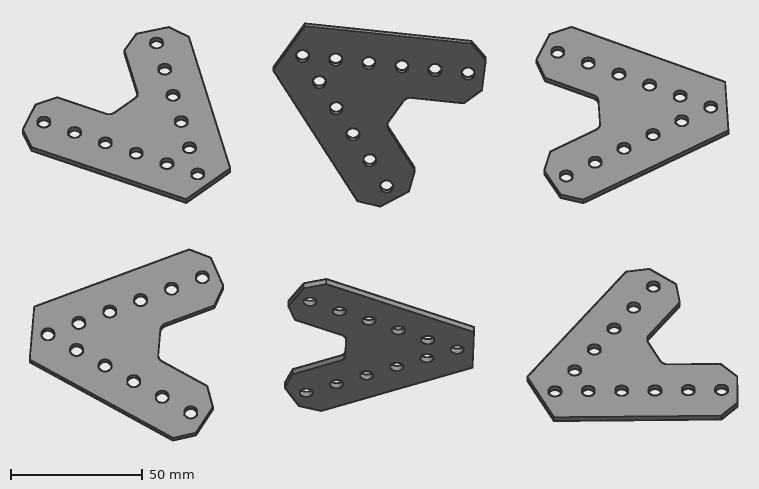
import cadquery as cq
import math

thickness = 2.5
arm_width = 25.4
arm_angle = math.atan2(4, 3)
hole_row_length = 63.5
holes_per_arm = 6
hole_diameter = 5.05
end_margin = 6.1
corner_margin = 6.2
inner_edge_distance = 42.5
inner_fillet = 3.2

half_width = arm_width / 2
end_chamfer = arm_width / 4
hole_pitch = hole_row_length / (holes_per_arm - 1)
half_angle = arm_angle / 2

corner_x = hole_row_length + end_margin
corner_y = half_width


def lower_arm_point(along, across):
    """Point measured from the corner hole, along the lower arm and up across it."""
    return (corner_x - along, corner_y + across)


def upper_arm_point(along, across):
    """Mirror image of a lower arm point about the bisector of the two arms."""
    return (
        corner_x - along * math.cos(arm_angle) - across * math.sin(arm_angle),
        corner_y + along * math.sin(arm_angle) - across * math.cos(arm_angle),
    )


def crossing(distance, across):
    """Where a line square to the bisector, at a distance from the corner hole, meets an arm side."""
    along = (distance - across * math.sin(half_angle)) / math.cos(half_angle)
    return (along, across)


arm_end = hole_row_length + end_margin
inner_corner = crossing(inner_edge_distance, half_width)
arm_outline = [
    crossing(-corner_margin, -half_width),
    (arm_end - end_chamfer, -half_width),
    (arm_end, end_chamfer - half_width),
    (arm_end, half_width - end_chamfer),
    (arm_end - end_chamfer, half_width),
    inner_corner,
]
lower_outline = [lower_arm_point(*point) for point in arm_outline]
upper_outline = [upper_arm_point(*point) for point in reversed(arm_outline)]
plate = cq.Workplane("XY").polyline(lower_outline + upper_outline).close().extrude(thickness)

for arm_point in (lower_arm_point, upper_arm_point):
    corner = (*arm_point(*inner_corner), thickness / 2)
    plate = plate.edges(cq.selectors.NearestToPointSelector(corner)).fillet(inner_fillet)

hole_centers = [lower_arm_point(i * hole_pitch, 0) for i in range(holes_per_arm)]
hole_centers += [upper_arm_point(i * hole_pitch, 0) for i in range(1, holes_per_arm)]
holes = cq.Workplane("XY").pushPoints(hole_centers).circle(hole_diameter / 2).extrude(thickness)

result = plate.cut(holes)